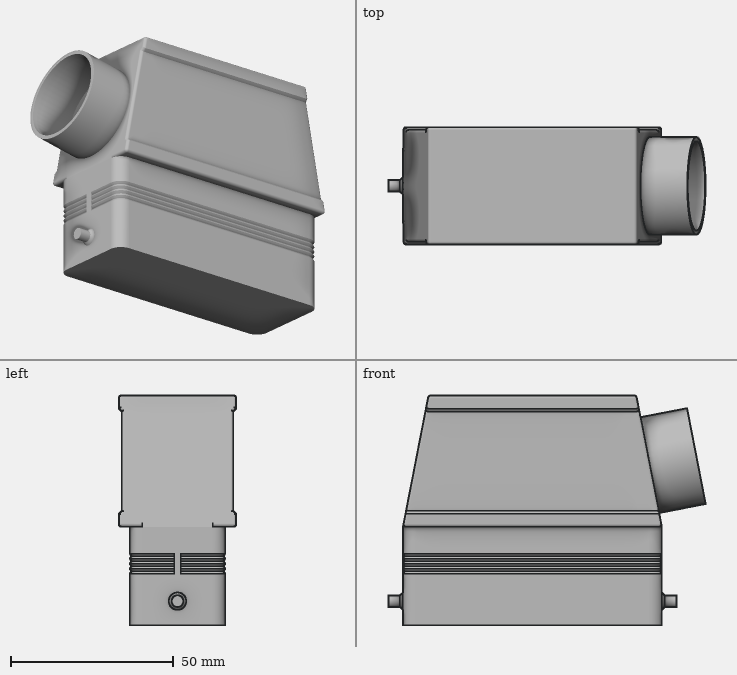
import cadquery as cq
import math

overall_length = 97.4
total_height = 70.5
hood_width = 36.0

body_length = 79.5
body_width = 29.4
body_corner_radius = 3.9
body_height = 30.2

end_slope = 11.0
side_recess = 0.9
recess_bottom_z = 34.2
recess_top_z = 66.4
hood_edge_radius = 0.9

groove_count = 4
groove_pitch = 1.6
groove_depth = 0.6
groove_band_bottom_z = 15.8
groove_bridge_width = 1.9

pin_tip_x = 44.2
pin_z = 7.4
pin_diameter = 3.6
pin_collar_diameter = 5.4
pin_collar_length = 0.9

nozzle_diameter = 30.0
nozzle_wall = 1.3
nozzle_center_z = 51.9
nozzle_depth = 14.6
nozzle_root = 4.9

half_length = body_length / 2
slope_angle = math.radians(end_slope)


def rounded_block(bottom_z, height, inset=0.0, taper=0.0):
    """Block with the body's rounded outline; a positive taper narrows it upwards."""
    return (
        cq.Workplane("XY", origin=(0, 0, bottom_z))
        .sketch()
        .rect(body_length - 2 * inset, body_width - 2 * inset)
        .vertices()
        .fillet(body_corner_radius - inset)
        .finalize()
        .extrude(height, taper=taper)
    )


def make_groove(bottom_z):
    """Ring of triangular section, interrupted at the middle of both ends."""
    half_pitch = groove_pitch / 2
    flank_angle = math.degrees(math.atan(groove_depth / half_pitch))
    lower_core = rounded_block(bottom_z, half_pitch, taper=flank_angle)
    upper_core = rounded_block(bottom_z + half_pitch, half_pitch, groove_depth, -flank_angle)
    bridge = cq.Workplane("XY", origin=(0, 0, bottom_z + half_pitch)).box(
        body_length, groove_bridge_width, groove_pitch
    )
    ring = rounded_block(bottom_z, groove_pitch)
    return ring.cut(lower_core).cut(upper_core).cut(bridge)


def make_body():
    body = rounded_block(0, body_height)
    for index in range(groove_count):
        body = body.cut(make_groove(groove_band_bottom_z + index * groove_pitch))
    return body


def make_sloped_prism(width, top_z):
    """Trapezoid with the hood's sloping ends, from the top of the body up to top_z."""
    top_half_length = half_length - (top_z - body_height) * math.tan(slope_angle)
    return (
        cq.Workplane("XZ")
        .polyline([
            (-half_length, body_height),
            (half_length, body_height),
            (top_half_length, top_z),
            (-top_half_length, top_z),
        ])
        .close()
        .extrude(width / 2, both=True)
    )


def make_hood():
    """Cross-section with recessed sides, trimmed to a trapezoid and rounded at its edges."""
    half_width = hood_width / 2
    waist = half_width - side_recess
    right_side = [
        (half_width, body_height),
        (half_width, recess_bottom_z),
        (waist, recess_bottom_z + side_recess),
        (waist, recess_top_z - side_recess),
        (half_width, recess_top_z),
        (half_width, total_height),
    ]
    left_side = [(-y, z) for y, z in reversed(right_side)]
    section = (
        cq.Workplane("YZ").polyline(right_side + left_side).close().extrude(half_length, both=True)
    )

    hood = section.intersect(make_sloped_prism(hood_width, total_height))
    hood = hood.faces("<X or >X or >Z or <Z").edges().fillet(hood_edge_radius)

    flat_end_width = body_width - 2 * body_corner_radius
    return hood.union(make_sloped_prism(flat_end_width, recess_bottom_z))


def make_pin(side):
    """Stepped pin with a conical collar; side is +1 or -1 along X."""
    pin_radius = pin_diameter / 2
    collar_end = half_length + pin_collar_length
    return (
        cq.Workplane("XY")
        .polyline([
            (0, 0),
            (side * pin_tip_x, 0),
            (side * pin_tip_x, pin_radius),
            (side * collar_end, pin_radius),
            (side * half_length, pin_collar_diameter / 2),
            (0, pin_collar_diameter / 2),
        ])
        .close()
        .revolve(360, (0, 0, 0), (1, 0, 0))
        .translate((0, 0, pin_z))
    )


def nozzle_cylinder(diameter, length):
    """Cylinder running from the nozzle rim back towards the hood."""
    rim_edge_x = overall_length - pin_tip_x
    rim_x = rim_edge_x - nozzle_diameter / 2 * math.sin(slope_angle)
    inward = (-math.cos(slope_angle), 0, -math.sin(slope_angle))
    rim_plane = cq.Plane(origin=(rim_x, 0, nozzle_center_z), xDir=(0, 1, 0), normal=inward)
    return cq.Workplane(rim_plane).circle(diameter / 2).extrude(length)


result = make_body().union(make_hood())
for side in (-1, 1):
    result = result.union(make_pin(side))
result = result.union(nozzle_cylinder(nozzle_diameter, nozzle_depth + nozzle_root))
result = result.cut(nozzle_cylinder(nozzle_diameter - 2 * nozzle_wall, nozzle_depth))